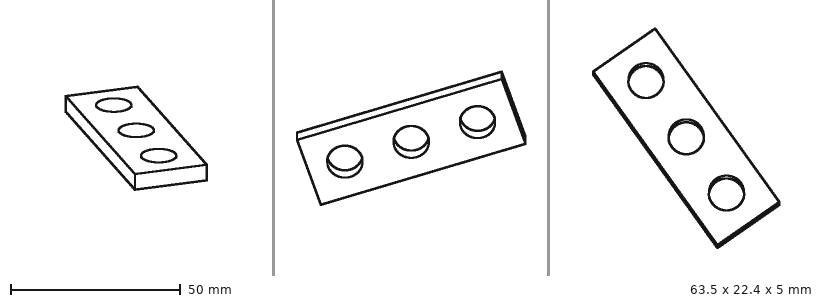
import cadquery as cq

length = 63.5
width = 22.35
thickness = 5.0

hole_diameter = 10.4
hole_pitch = 20.6
hole_count = 3

plate = cq.Workplane("XY").box(length, width, thickness)

result = (
    plate.faces(">Z")
    .workplane()
    .rarray(hole_pitch, width, hole_count, 1)
    .hole(hole_diameter)
)